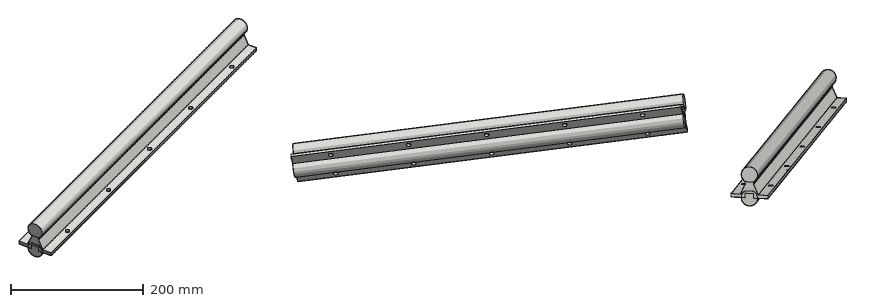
import cadquery as cq
import math

length = 600.0
flange_width = 57.0
flange_thickness = 5.5

rod_radius = 12.5
rod_spacing = 36.0
flat_offset = 11.0
flat_half_width = math.sqrt(rod_radius**2 - flat_offset**2)

neck_bottom = 21.5
web_foot_half_width = 14.0

tongue_half_width = 6.5
tongue_top = 7.0

hole_diameter = 6.5
hole_row_x = 21.0
hole_pitch = 120.0
holes_per_row = 5


def extrude_along_y(profile):
    """Extrude an XZ profile over the full length, centred on y = 0."""
    return profile.extrude(length / 2, both=True)


def make_box(width, bottom, top):
    """Full-length block centred on x = 0 between two heights."""
    return cq.Workplane("XY").box(width, length, top - bottom).translate((0, 0, (bottom + top) / 2))


def make_flatted_bar():
    """Round bar about the Y axis with a flat on its upper side."""
    round_bar = extrude_along_y(cq.Workplane("XZ").circle(rod_radius))
    return round_bar.intersect(make_box(2 * rod_radius, -rod_radius, flat_offset))


def make_upper_rod():
    """Flatted bar turned over so that its flat rests on the web."""
    upside_down = make_flatted_bar().rotate((0, 0, 0), (0, 1, 0), 180)
    return upside_down.translate((0, 0, rod_spacing))


def make_lower_rod():
    """Lower half of the bar with a rectangular tongue rising from it."""
    lower_half = make_box(2 * rod_radius, -rod_radius, 0)
    tongue = make_box(2 * tongue_half_width, 0, tongue_top)
    return make_flatted_bar().intersect(lower_half.union(tongue))


def make_saddle(lower_rod):
    """Channel that fills the rest of the bar outline around the tongue."""
    return make_flatted_bar().cut(lower_rod)


def make_support():
    """Flanged web with a seat for the saddle and two rows of mounting holes."""
    web_top = rod_spacing - flat_offset
    web = extrude_along_y(
        cq.Workplane("XZ").polyline([
            (-web_foot_half_width, flange_thickness),
            (-flat_half_width, neck_bottom),
            (-flat_half_width, web_top),
            (flat_half_width, web_top),
            (flat_half_width, neck_bottom),
            (web_foot_half_width, flange_thickness),
        ]).close()
    )
    support = make_box(flange_width, 0, flange_thickness).union(web)
    support = support.cut(make_flatted_bar())
    first_hole_y = -hole_pitch * (holes_per_row - 1) / 2
    hole_centres = [
        (side * hole_row_x, first_hole_y + index * hole_pitch)
        for side in (-1, 1)
        for index in range(holes_per_row)
    ]
    holes = cq.Workplane("XY").pushPoints(hole_centres).circle(hole_diameter / 2).extrude(flange_thickness)
    return support.cut(holes)


upper_rod = make_upper_rod()
lower_rod = make_lower_rod()
saddle = make_saddle(lower_rod)
support = make_support()

result = cq.Compound.makeCompound([
    upper_rod.val(),
    *lower_rod.vals(),
    *saddle.vals(),
    *support.vals(),
])